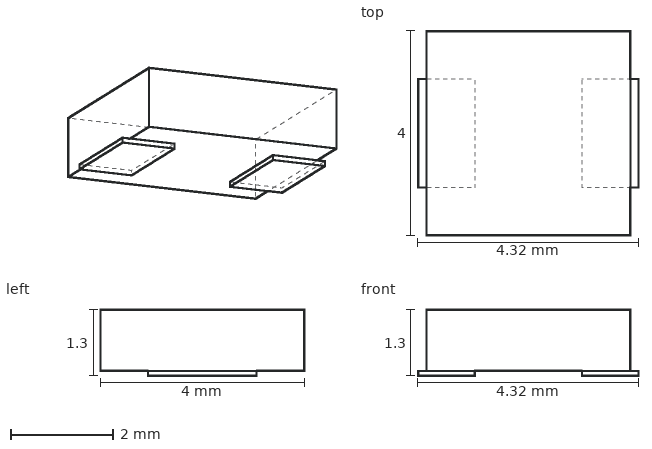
import cadquery as cq

overall_length = 4.32
overall_height = 1.3

body_side = 4.0

terminal_length = 1.11
terminal_width = 2.13
terminal_thickness = 0.1

body_height = overall_height - terminal_thickness
terminal_offset = (overall_length - terminal_length) / 2


def make_body():
    """Square block resting on top of the terminals."""
    return (
        cq.Workplane("XY")
        .workplane(offset=terminal_thickness)
        .rect(body_side, body_side)
        .extrude(body_height)
    )


def make_terminal(side):
    """Flat plate at the -X end (side = -1) or the +X end (side = 1)."""
    return (
        cq.Workplane("XY")
        .center(side * terminal_offset, 0)
        .rect(terminal_length, terminal_width)
        .extrude(terminal_thickness)
    )


body = make_body()
terminals = [make_terminal(side) for side in (-1, 1)]

result = cq.Compound.makeCompound([body.val(), *(terminal.val() for terminal in terminals)])